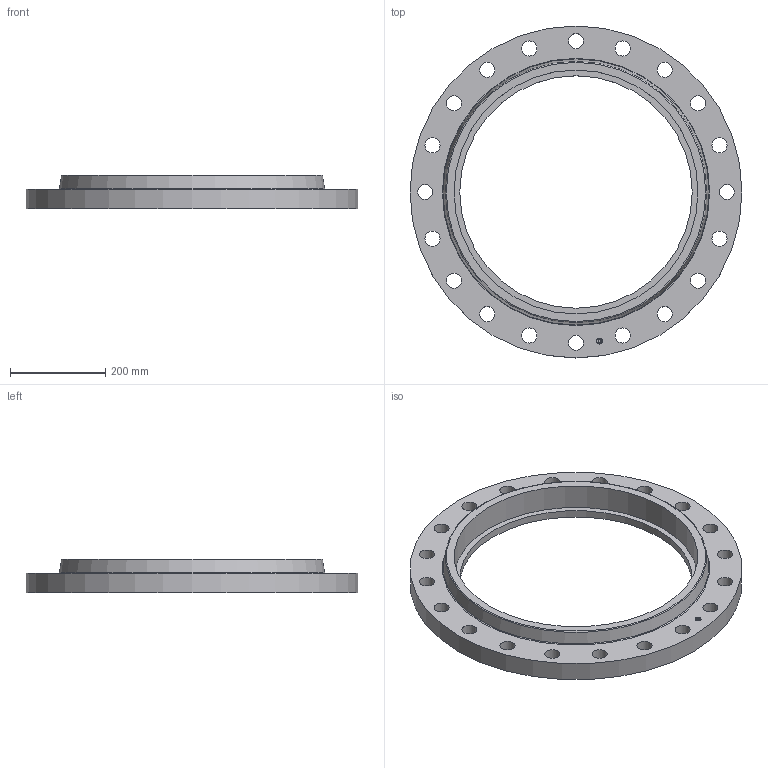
import cadquery as cq
import math

flange_diameter = 698.5
flange_thickness = 41.3
total_height = 71.37

hub_base_diameter = 558.8
hub_top_diameter = 549.0
hub_root_fillet = 2.0
hub_top_fillet = 2.0

bore_diameter = 488.95
socket_diameter = 513.1
lip_height = 16.0

bolt_circle_diameter = 635.0
bolt_count = 20
bolt_hole_diameter = 31.75
bolt_pitch_angle = 360.0 / bolt_count

small_hole_angle = -90.0 + bolt_pitch_angle / 2
small_hole_diameter = 6.0
small_hole_depth = 20.0
small_counterbore_diameter = 12.7
small_counterbore_depth = 3.0


def bolt_circle_point(angle):
    """Return the XY point on the bolt circle at an angle in degrees from +X."""
    radius = bolt_circle_diameter / 2
    return (radius * math.cos(math.radians(angle)), radius * math.sin(math.radians(angle)))


def make_body():
    """Flange plate with the tapered hub, rounded at the hub root and top rim."""
    plate = cq.Workplane("XY").circle(flange_diameter / 2).extrude(flange_thickness)
    hub = (
        cq.Workplane("XY", origin=(0, 0, flange_thickness))
        .circle(hub_base_diameter / 2)
        .workplane(offset=total_height - flange_thickness)
        .circle(hub_top_diameter / 2)
        .loft()
    )
    root_edge = cq.selectors.RadiusNthSelector(1)
    body = plate.union(hub).edges(root_edge).fillet(hub_root_fillet)
    return body.faces(">Z").edges().fillet(hub_top_fillet)


def cut_bore(body):
    """Cut the through bore and the wider pipe socket above the lip."""
    bore = cq.Workplane("XY").circle(bore_diameter / 2).extrude(total_height)
    socket = (
        cq.Workplane("XY", origin=(0, 0, lip_height))
        .circle(socket_diameter / 2)
        .extrude(total_height - lip_height)
    )
    return body.cut(bore).cut(socket)


def cut_bolt_holes(body):
    """Cut the ring of through bolt holes, the first one on +X."""
    centres = [bolt_circle_point(index * bolt_pitch_angle) for index in range(bolt_count)]
    holes = cq.Workplane("XY").pushPoints(centres).circle(bolt_hole_diameter / 2).extrude(flange_thickness)
    return body.cut(holes)


def cut_small_hole(body):
    """Cut the blind stepped hole down from the top of the plate."""
    x, y = bolt_circle_point(small_hole_angle)
    top = cq.Workplane("XY", origin=(x, y, flange_thickness))
    counterbore = top.circle(small_counterbore_diameter / 2).extrude(-small_counterbore_depth)
    hole = top.circle(small_hole_diameter / 2).extrude(-small_hole_depth)
    return body.cut(counterbore).cut(hole)


result = cut_small_hole(cut_bolt_holes(cut_bore(make_body())))